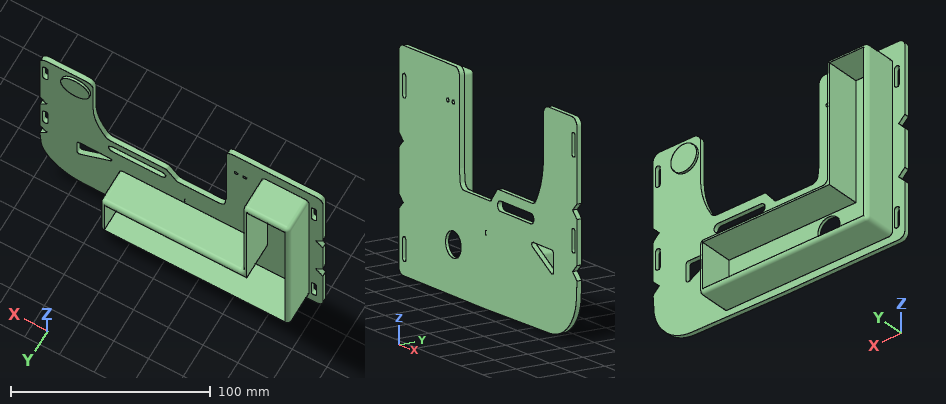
import cadquery as cq
import math

PLATE_LENGTH = 163.0
PLATE_HEIGHT = 119.85
PLATE_THICKNESS = 3.0

LEFT_ARM_WIDTH = 55.6
LEFT_CORNER_RADIUS = 4.0
RIGHT_ARM_LEFT = 132.2
RIGHT_ARM_TOP = 118.5
RIGHT_CORNER_RADIUS = 4.5
LOW_EDGE_Z = 57.2
HIGH_EDGE_Z = 65.0
RAMP_BOTTOM_X = 83.9
RAMP_TOP_X = 90.2
RAMP_CORNER_RADIUS = 1.5
INNER_CORNER_RADIUS = 4.0
INNER_CORNER_TAPER_TOP_Z = 67.5
INNER_CORNER_TAPER = 1.1
SWEEP_RADIUS = 46.0
SWEEP_END_X = 124.0
SWEEP_CORNER_RADIUS = 4.0

BIG_CORNER_RADIUS = 25.0
BIG_CORNER_X = 137.5
BIG_CORNER_Z = 26.0
BOTTOM_RISE_START_X = 78.0

NOTCH_DEPTH = 4.0
NOTCH_CENTERS_Z = (38.0, 70.0)

STRAP_SLOT_WIDTH = 2.93
STRAP_SLOT_LENGTH = 12.8
STRAP_SLOT_CENTERS = ((5.2, 14.1), (5.2, 99.0), (159.8, 54.2), (159.8, 104.1))

MAIN_HOLE_DIAMETER = 14.0
MAIN_HOLE_CENTER = (50.0, 26.8)
PIN_HOLE_DIAMETER = 2.0
PIN_HOLE_CENTERS = ((45.0, 100.85), (50.0, 100.85))

GRIP_SLOT_LEFT = 90.5
GRIP_SLOT_RIGHT = 123.4
GRIP_SLOT_BOTTOM = 54.0
GRIP_SLOT_HEIGHT = 5.4

WINDOW_RIGHT = 141.4
WINDOW_TOP = 44.85
WINDOW_HEIGHT = 13.4
WINDOW_ANGLE = 30.0
WINDOW_CORNER_DIAMETER = 2.53

SLIT_CENTER = (79.6, 39.8)
SLIT_LENGTH = 2.5
SLIT_WIDTH = 0.1

TRAY_DEPTH = 20.0
TRAY_LEFT = 8.0
TRAY_RIGHT = 117.0
TRAY_BOTTOM = 4.5
TRAY_TOP = 111.0
TRAY_UPRIGHT_WIDTH = 27.0
TRAY_FOOT_HEIGHT = 33.0
TRAY_ROUNDING = 2.5
TRAY_WALL = TRAY_ROUNDING
TRAY_FLOOR = 2.0

PAD_DIAMETER = 16.6
PAD_HEIGHT = 1.4
PAD_CENTER = (141.9, 107.1)


def extrude_back(sketch, depth):
    """Extrude a closed XZ outline toward +Y."""
    return sketch.extrude(-depth)


def plane_at(y):
    return cq.Workplane("XZ", origin=(0, y, 0))


def round_corner(body, x, z, radius):
    """Round the plate corner nearest to the point (x, z)."""
    corner = cq.selectors.NearestToPointSelector((x, PLATE_THICKNESS / 2, z))
    return body.edges("|Y").edges(corner).fillet(radius)


def plate_blank():
    sweep_run = RIGHT_ARM_LEFT - SWEEP_END_X
    sweep_angle = math.acos(1 - sweep_run / SWEEP_RADIUS)
    sweep_start_z = HIGH_EDGE_Z + SWEEP_RADIUS * math.sin(sweep_angle)
    sweep_mid = (
        RIGHT_ARM_LEFT - SWEEP_RADIUS * (1 - math.cos(sweep_angle / 2)),
        sweep_start_z - SWEEP_RADIUS * math.sin(sweep_angle / 2),
    )
    big_diagonal = BIG_CORNER_RADIUS * math.sqrt(0.5)
    notch_low_end = NOTCH_CENTERS_Z[0] - NOTCH_DEPTH
    outline = (
        plane_at(0)
        .moveTo(0, 0)
        .lineTo(BOTTOM_RISE_START_X, 0)
        .lineTo(BIG_CORNER_X, BIG_CORNER_Z - BIG_CORNER_RADIUS)
        .threePointArc(
            (BIG_CORNER_X + big_diagonal, BIG_CORNER_Z - big_diagonal),
            (BIG_CORNER_X + BIG_CORNER_RADIUS, BIG_CORNER_Z),
        )
        .lineTo(PLATE_LENGTH, notch_low_end)
        .lineTo(PLATE_LENGTH, RIGHT_ARM_TOP)
        .lineTo(RIGHT_ARM_LEFT, RIGHT_ARM_TOP)
        .lineTo(RIGHT_ARM_LEFT, sweep_start_z)
        .threePointArc(sweep_mid, (SWEEP_END_X, HIGH_EDGE_Z))
        .lineTo(RAMP_TOP_X, HIGH_EDGE_Z)
        .lineTo(RAMP_BOTTOM_X, LOW_EDGE_Z)
        .lineTo(LEFT_ARM_WIDTH + INNER_CORNER_TAPER, LOW_EDGE_Z)
        .lineTo(LEFT_ARM_WIDTH, INNER_CORNER_TAPER_TOP_Z)
        .lineTo(LEFT_ARM_WIDTH, PLATE_HEIGHT)
        .lineTo(0, PLATE_HEIGHT)
        .close()
    )
    blank = extrude_back(outline, PLATE_THICKNESS)
    rounded_corners = (
        (0, 0, LEFT_CORNER_RADIUS),
        (0, PLATE_HEIGHT, LEFT_CORNER_RADIUS),
        (LEFT_ARM_WIDTH, PLATE_HEIGHT, LEFT_CORNER_RADIUS),
        (RIGHT_ARM_LEFT, RIGHT_ARM_TOP, RIGHT_CORNER_RADIUS),
        (PLATE_LENGTH, RIGHT_ARM_TOP, RIGHT_CORNER_RADIUS),
        (LEFT_ARM_WIDTH + INNER_CORNER_TAPER, LOW_EDGE_Z, INNER_CORNER_RADIUS),
        (RAMP_BOTTOM_X, LOW_EDGE_Z, RAMP_CORNER_RADIUS),
        (RAMP_TOP_X, HIGH_EDGE_Z, RAMP_CORNER_RADIUS),
        (SWEEP_END_X, HIGH_EDGE_Z, SWEEP_CORNER_RADIUS),
    )
    for x, z, radius in rounded_corners:
        blank = round_corner(blank, x, z, radius)
    return blank


def notch(edge_x, inward, z):
    outline = (
        plane_at(0)
        .moveTo(edge_x, z - NOTCH_DEPTH)
        .lineTo(edge_x + inward * NOTCH_DEPTH, z)
        .lineTo(edge_x, z + NOTCH_DEPTH)
        .close()
    )
    return extrude_back(outline, PLATE_THICKNESS)


def strap_slots():
    outline = plane_at(0).pushPoints(STRAP_SLOT_CENTERS).slot2D(STRAP_SLOT_LENGTH, STRAP_SLOT_WIDTH, 90)
    return extrude_back(outline, PLATE_THICKNESS)


def round_holes(centers, diameter):
    return extrude_back(plane_at(0).pushPoints(centers).circle(diameter / 2), PLATE_THICKNESS)


def grip_slot():
    length = GRIP_SLOT_RIGHT - GRIP_SLOT_LEFT
    center = (GRIP_SLOT_LEFT + length / 2, GRIP_SLOT_BOTTOM + GRIP_SLOT_HEIGHT / 2)
    return extrude_back(plane_at(0).center(*center).slot2D(length, GRIP_SLOT_HEIGHT), PLATE_THICKNESS)


def triangular_window():
    width = WINDOW_HEIGHT / math.tan(math.radians(WINDOW_ANGLE))
    outline = (
        plane_at(0)
        .moveTo(WINDOW_RIGHT, WINDOW_TOP)
        .lineTo(WINDOW_RIGHT - width, WINDOW_TOP)
        .lineTo(WINDOW_RIGHT, WINDOW_TOP - WINDOW_HEIGHT)
        .close()
    )
    return extrude_back(outline, PLATE_THICKNESS).edges("|Y").fillet(WINDOW_CORNER_DIAMETER / 2)


def slit():
    return extrude_back(plane_at(0).center(*SLIT_CENTER).rect(SLIT_WIDTH, SLIT_LENGTH), PLATE_THICKNESS)


def tray_block(inset, start_y):
    """L-shaped block from start_y to the tray back, with its outline moved inward by inset."""
    left = TRAY_LEFT + inset
    right = TRAY_RIGHT - inset
    bottom = TRAY_BOTTOM + inset
    top = TRAY_TOP - inset
    upright_right = TRAY_LEFT + TRAY_UPRIGHT_WIDTH - inset
    foot_top = TRAY_BOTTOM + TRAY_FOOT_HEIGHT - inset
    outline = (
        plane_at(start_y)
        .moveTo(left, bottom)
        .lineTo(right, bottom)
        .lineTo(right, foot_top)
        .lineTo(upright_right, foot_top)
        .lineTo(upright_right, top)
        .lineTo(left, top)
        .close()
    )
    return extrude_back(outline, PLATE_THICKNESS + TRAY_DEPTH - start_y)


def tray_shell():
    block = tray_block(0, PLATE_THICKNESS).edges("|Y").fillet(TRAY_ROUNDING)
    return block.faces(">Y").edges().fillet(TRAY_ROUNDING)


def tray_cavity():
    """Open-backed cavity that also thins the plate down to the tray floor."""
    return tray_block(TRAY_WALL, TRAY_FLOOR)


def pad():
    outline = plane_at(PLATE_THICKNESS).center(*PAD_CENTER).circle(PAD_DIAMETER / 2)
    return extrude_back(outline, PAD_HEIGHT)


plate = plate_blank()
for notch_z in NOTCH_CENTERS_Z:
    plate = plate.cut(notch(0, 1, notch_z))
    plate = plate.cut(notch(PLATE_LENGTH, -1, notch_z))
plate = plate.cut(strap_slots())
plate = plate.cut(round_holes([MAIN_HOLE_CENTER], MAIN_HOLE_DIAMETER))
plate = plate.cut(round_holes(PIN_HOLE_CENTERS, PIN_HOLE_DIAMETER))
plate = plate.cut(grip_slot())
plate = plate.cut(triangular_window())
plate = plate.cut(slit())

result = plate.union(tray_shell()).cut(tray_cavity()).union(pad())